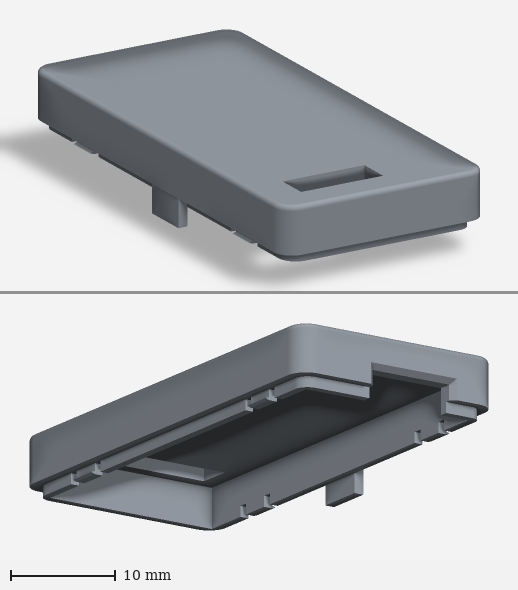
import cadquery as cq

length = 47.6
width = 22.6
body_height = 5.0
corner_radius = 2.0
top_fillet = 0.5
roof_thickness = 2.0
x_min = -length / 2
x_max = length / 2
y_min = -width / 2
y_max = width / 2

lip_height = 1.1
lip_inset_x = 1.05
lip_inset_y = 1.1
lip_thickness = 0.9
lip_radius_left_front = 0.95
lip_radius_right_front = 1.9
lip_radius_back = 1.4
wall_thickness_x = lip_inset_x + lip_thickness
wall_thickness_y = lip_inset_y + lip_thickness

tongue_width = 3.1
tongue_gap = 0.95
left_tongue_center = x_min + 8.5
right_tongue_center = x_min + 38.25
tongue_centers = (left_tongue_center, right_tongue_center)
snap_height = 0.3
snap_depth = 0.4

tab_width = 5.0
tab_height = 3.1
tab_center_x = x_min + 25.03
tab_front_inset = 0.15
tab_thickness = 1.0

port_width = 8.8
port_center_y = y_max - 13.1
port_top = 1.6
port_flare = 0.55

window_length = 3.5
window_width = 9.1
window_center_x = x_max - 5.1
window_center_y = y_min + 8.4


def box(x0, x1, y0, y1, z0, z1):
    """Axis-aligned block given by its limits."""
    return cq.Workplane("XY").box(x1 - x0, y1 - y0, z1 - z0, centered=False).translate((x0, y0, z0))


def make_body():
    block = box(x_min, x_max, y_min, y_max, 0, body_height)
    return block.edges("|Z").fillet(corner_radius).faces(">Z").edges().fillet(top_fillet)


def make_lip():
    """Solid lip block; the cavity later leaves only its rim."""
    lip = box(
        x_min + lip_inset_x, x_max - lip_inset_x,
        y_min + lip_inset_y, y_max - lip_inset_y,
        -lip_height, 0,
    )
    lip = lip.edges("|Z and >Y").fillet(lip_radius_back)
    lip = lip.edges("|Z and <X and <Y").fillet(lip_radius_left_front)
    return lip.edges("|Z and >X and <Y").fillet(lip_radius_right_front)


def make_cavity():
    return box(
        x_min + wall_thickness_x, x_max - wall_thickness_x,
        y_min + wall_thickness_y, y_max - wall_thickness_y,
        -lip_height, body_height - roof_thickness,
    )


def make_tongue_gap(center_x):
    """Slot across the lip on one side of a snap tongue."""
    half_gap = tongue_gap / 2
    return box(center_x - half_gap, center_x + half_gap, y_min, y_max, -lip_height, 0)


def make_snap_ridge(center_x, side):
    """V-shaped ridge on a tongue; side is -1 for the front and +1 for the back."""
    root_y = side * (y_max - lip_inset_y)
    profile = [
        (root_y, -lip_height),
        (root_y + side * snap_depth, -lip_height + snap_height / 2),
        (root_y, -lip_height + snap_height),
    ]
    ridge = cq.Workplane("YZ").polyline(profile).close().extrude(tongue_width)
    return ridge.translate((center_x - tongue_width / 2, 0, 0))


def make_tab():
    tab_y = y_min + tab_front_inset
    return box(
        tab_center_x - tab_width / 2, tab_center_x + tab_width / 2,
        tab_y, tab_y + tab_thickness,
        -tab_height, 0,
    )


def make_port():
    """Straight opening through wall and lip, plus the flare at the outer face."""
    half_width = port_width / 2
    opening = box(
        x_min, x_min + wall_thickness_x,
        port_center_y - half_width, port_center_y + half_width,
        -lip_height, port_top,
    )
    flare = (
        cq.Workplane("YZ", origin=(x_min, port_center_y, 0))
        .rect(port_width + 2 * port_flare, 2 * (port_top + port_flare))
        .workplane(offset=port_flare)
        .rect(port_width, 2 * port_top)
        .loft()
    )
    return opening.union(flare)


def make_window():
    return box(
        window_center_x - window_length / 2, window_center_x + window_length / 2,
        window_center_y - window_width / 2, window_center_y + window_width / 2,
        0, body_height,
    )


result = make_body().union(make_lip()).cut(make_cavity())

gap_offset = (tongue_width + tongue_gap) / 2
for tongue_x in tongue_centers:
    for gap_x in (tongue_x - gap_offset, tongue_x + gap_offset):
        result = result.cut(make_tongue_gap(gap_x))
    for side in (-1, 1):
        result = result.union(make_snap_ridge(tongue_x, side))

result = result.cut(make_port()).cut(make_window()).union(make_tab())